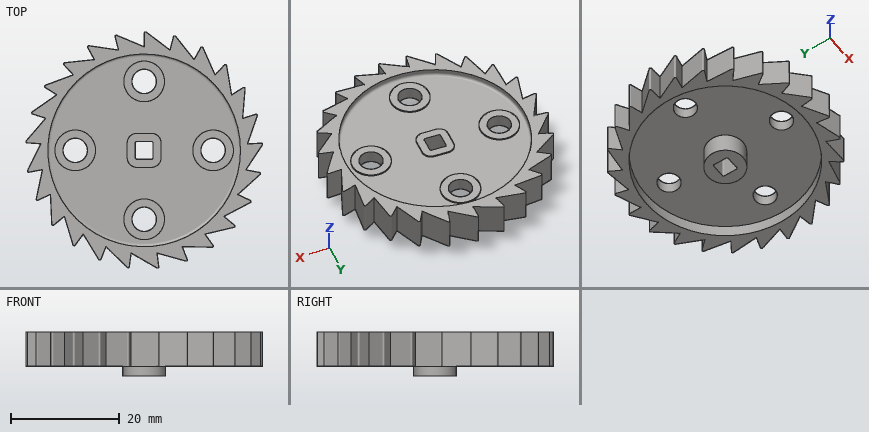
import cadquery as cq
import math

tooth_count = 25
sharp_tip_radius = 22.1
root_radius = 19.1
tip_round_radius = 0.25
wheel_thickness = 6.35

recess_radius = 17.75
top_recess_depth = 1.397
recess_floor_fillet = 0.5
bottom_recess_depth = 2.667
web_bottom_z = bottom_recess_depth
web_top_z = wheel_thickness - top_recess_depth

mount_hole_count = 4
mount_circle_radius = 12.7
mount_hole_diameter = 4.45
mount_pad_diameter = 7.5
pad_height = 0.254

hub_diameter = 7.94
hub_projection = 1.78
drive_pad_width = 6.25
drive_pad_corner_radius = 1.75
drive_hole_width = 3.25
drive_hole_corner_radius = 0.3


def point_at(radius, angle_degrees):
    """Point in the wheel plane; the angle runs clockwise from +Y."""
    angle = math.radians(angle_degrees)
    return (radius * math.sin(angle), radius * math.cos(angle))


def make_toothed_blank():
    """Solid wheel whose teeth have one radial face and one sloping back."""
    outline = []
    for tooth in range(tooth_count):
        angle = tooth * 360 / tooth_count
        outline.append(point_at(root_radius, angle))
        outline.append(point_at(sharp_tip_radius, angle))
    blank = cq.Workplane("XY").polyline(outline).close().extrude(wheel_thickness)

    mid_tooth_radius = (root_radius + sharp_tip_radius) / 2
    upright_edges = blank.edges("|Z").vals()
    tip_edges = [
        edge for edge in upright_edges
        if math.hypot(edge.Center().x, edge.Center().y) > mid_tooth_radius
    ]
    return blank.newObject(tip_edges).fillet(tip_round_radius)


def make_cylinder(radius, bottom_z, top_z):
    """Cylinder on the wheel axis between two heights."""
    return cq.Workplane("XY").workplane(offset=bottom_z).circle(radius).extrude(top_z - bottom_z)


def make_rounded_square(width, corner_radius, bottom_z, top_z):
    """Upright square prism on the wheel axis with rounded corners."""
    prism = cq.Workplane("XY").workplane(offset=bottom_z).rect(width, width).extrude(top_z - bottom_z)
    return prism.edges("|Z").fillet(corner_radius)


def make_mount_cylinders(diameter, bottom_z, top_z):
    """One cylinder at each mounting position."""
    positions = cq.Workplane("XY").workplane(offset=bottom_z).polarArray(
        mount_circle_radius, 0, 360, mount_hole_count
    )
    return positions.circle(diameter / 2).extrude(top_z - bottom_z)


def cut_recesses(wheel):
    """Hollow both faces, rounding the foot of the upper recess wall."""
    top_recess = make_cylinder(recess_radius, web_top_z, wheel_thickness)
    top_recess = top_recess.faces("<Z").edges().fillet(recess_floor_fillet)
    bottom_recess = make_cylinder(recess_radius, 0, web_bottom_z)
    return wheel.cut(top_recess).cut(bottom_recess)


def add_pads_and_hub(wheel):
    """Raise the pads on the web and hang the hub below it."""
    pad_top_z = web_top_z + pad_height
    mount_pads = make_mount_cylinders(mount_pad_diameter, web_bottom_z, pad_top_z)
    drive_pad = make_rounded_square(drive_pad_width, drive_pad_corner_radius, web_bottom_z, pad_top_z)
    hub = make_cylinder(hub_diameter / 2, -hub_projection, web_top_z)
    return wheel.union(mount_pads).union(drive_pad).union(hub)


def cut_holes(wheel):
    """Cut the mounting holes and the square drive hole right through."""
    mount_holes = make_mount_cylinders(mount_hole_diameter, -hub_projection, wheel_thickness)
    drive_hole = make_rounded_square(
        drive_hole_width, drive_hole_corner_radius, -hub_projection, wheel_thickness
    )
    return wheel.cut(mount_holes).cut(drive_hole)


wheel = make_toothed_blank()
wheel = cut_recesses(wheel)
wheel = add_pads_and_hub(wheel)
result = cut_holes(wheel)